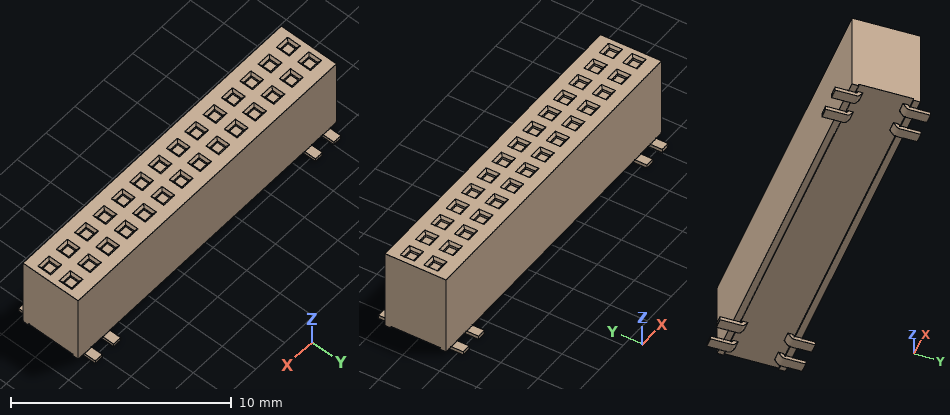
import cadquery as cq
import math

column_count = 14
pitch = 1.27
row_offset = pitch / 2
column_positions = [(i - (column_count - 1) / 2) * pitch for i in range(column_count)]

housing_length = 17.89
housing_width = 3.31
housing_bottom = 0.2
housing_top = 4.55
channel_width = 2.64
channel_depth = 0.1
channel_ceiling = housing_bottom + channel_depth

socket_mouth = 0.76
socket_well = 0.51
lead_in_depth = (socket_mouth - socket_well) / 2
well_depth = 0.12

leg_width = 0.5
leg_thickness = housing_bottom
leg_tip = 2.3
bend_start = 1.28
bend_angle = math.radians(55)
leg_columns = column_positions[:2] + column_positions[-2:]


def make_socket_cutter():
    """Square funnel and well, with the mouth centred on the origin and pointing up."""
    lead_in = (
        cq.Workplane("XY")
        .rect(socket_mouth, socket_mouth)
        .workplane(offset=-lead_in_depth)
        .rect(socket_well, socket_well)
        .loft(ruled=True)
    )
    well = (
        cq.Workplane("XY")
        .workplane(offset=-lead_in_depth)
        .rect(socket_well, socket_well)
        .extrude(-well_depth)
    )
    return lead_in.union(well)


def make_housing():
    """Block with a shallow channel along its underside and two rows of sockets on top."""
    block = (
        cq.Workplane("XY")
        .workplane(offset=housing_bottom)
        .rect(housing_length, housing_width)
        .extrude(housing_top - housing_bottom)
    )
    channel = (
        cq.Workplane("XY")
        .workplane(offset=housing_bottom)
        .rect(housing_length, channel_width)
        .extrude(channel_depth)
    )
    block = block.cut(channel)
    socket = make_socket_cutter()
    for x in column_positions:
        for y in (-row_offset, row_offset):
            block = block.cut(socket.translate((x, y, housing_top)))
    return block


def make_leg():
    """Leg on the +Y side, centred on X = 0; sharp inside the bend and rounded outside."""

    def outer_bend_point(angle):
        y = bend_start - leg_thickness * math.sin(angle)
        z = leg_thickness - leg_thickness * math.cos(angle)
        return y, z

    bend_end_y, bend_end_z = outer_bend_point(bend_angle)
    riser_lower_y = bend_end_y - (channel_ceiling - bend_end_z) / math.tan(bend_angle)
    riser_upper_y = bend_start - (channel_ceiling - leg_thickness) / math.tan(bend_angle)
    return (
        cq.Workplane("YZ")
        .moveTo(leg_tip, 0)
        .lineTo(bend_start, 0)
        .threePointArc(outer_bend_point(bend_angle / 2), (bend_end_y, bend_end_z))
        .lineTo(riser_lower_y, channel_ceiling)
        .lineTo(riser_upper_y, channel_ceiling)
        .lineTo(bend_start, leg_thickness)
        .lineTo(leg_tip, leg_thickness)
        .close()
        .extrude(leg_width / 2, both=True)
    )


housing = make_housing()

back_leg = make_leg()
front_leg = back_leg.mirror("XZ")
legs = []
for leg_x in leg_columns:
    for leg in (back_leg, front_leg):
        legs.append(leg.translate((leg_x, 0, 0)).val())

result = cq.Compound.makeCompound([housing.val(), *legs])